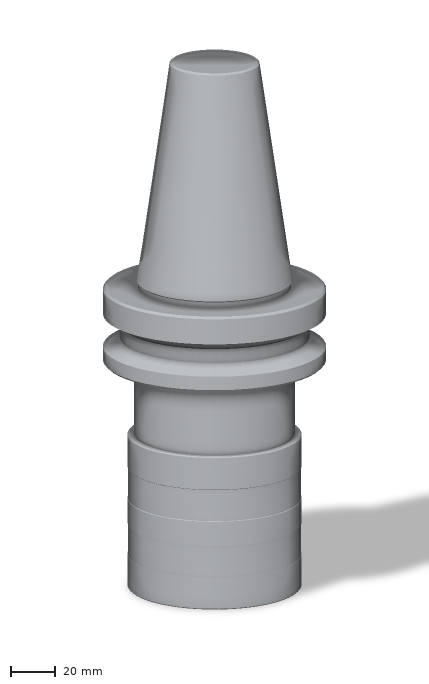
import cadquery as cq
import math


GAUGE_RADIUS = 69.85 / 2
TAPER_LENGTH = 101.8
TAPER_PER_LENGTH = 7 / 24
TAPER_TIP_CHAMFER = 0.8
TIP_RADIUS = GAUGE_RADIUS - TAPER_LENGTH * TAPER_PER_LENGTH / 2
RELIEF_RADIUS = 34.3
RELIEF_BEVEL = GAUGE_RADIUS - RELIEF_RADIUS

FLANGE_RADIUS = 50.0
FLANGE_TOP = -3.0
FLANGE_BOTTOM = -38.0
FLANGE_CHAMFER = 1.0
GROOVE_CENTER = -23.2
GROOVE_FLOOR_RADIUS = 42.5
GROOVE_FLOOR_HALF_WIDTH = 3.2
GROOVE_FLANK_ANGLE = 30.0
GROOVE_FLANK_RISE = (FLANGE_RADIUS - GROOVE_FLOOR_RADIUS) * math.tan(math.radians(GROOVE_FLANK_ANGLE))
GROOVE_MOUTH_HALF_WIDTH = GROOVE_FLOOR_HALF_WIDTH + GROOVE_FLANK_RISE

NECK_RADIUS = 36.0
NECK_STEP_DEPTH = 0.25
NECK_STEP_Z = -40.2
BAND_RADIUS = 39.0
BODY_RADIUS = 38.75
BAND_CHAMFER = 0.5
BAND_LOWER_BREAK = BAND_RADIUS - BODY_RADIUS
UPPER_BAND_TOP = -71.3
UPPER_BAND_BOTTOM = -86.8
MIDDLE_BAND_TOP = -101.0
MIDDLE_BAND_BOTTOM = -112.8
LOWER_BAND_TOP = -127.5
HOLDER_BOTTOM = -142.5


def revolve_about_z(profile):
    """Turn a closed (radius, height) outline about the Z axis."""
    outline = cq.Workplane("XZ").polyline(profile).close()
    return outline.revolve(360, (0, 0, 0), (0, 1, 0))


def turned_cylinder(radius, top, bottom, top_chamfer=0.0, bottom_chamfer=0.0):
    """Cylinder on Z with an optional chamfer at either end."""
    body = cq.Workplane("XY").workplane(offset=bottom).circle(radius).extrude(top - bottom)
    if top_chamfer:
        body = body.faces(">Z").edges().chamfer(top_chamfer)
    if bottom_chamfer:
        body = body.faces("<Z").edges().chamfer(bottom_chamfer)
    return body


def make_taper():
    """Taper shank with a chamfered tip and the undercut below the gauge line."""
    taper = revolve_about_z([
        (0, FLANGE_TOP),
        (RELIEF_RADIUS, FLANGE_TOP),
        (RELIEF_RADIUS, -RELIEF_BEVEL),
        (GAUGE_RADIUS, 0),
        (TIP_RADIUS, TAPER_LENGTH),
        (0, TAPER_LENGTH),
    ])
    return taper.faces(">Z").edges().chamfer(TAPER_TIP_CHAMFER)


def make_flange():
    """Flange disc with a V groove around its rim."""
    flange = turned_cylinder(FLANGE_RADIUS, FLANGE_TOP, FLANGE_BOTTOM, FLANGE_CHAMFER, FLANGE_CHAMFER)
    groove = revolve_about_z([
        (FLANGE_RADIUS, GROOVE_CENTER + GROOVE_MOUTH_HALF_WIDTH),
        (GROOVE_FLOOR_RADIUS, GROOVE_CENTER + GROOVE_FLOOR_HALF_WIDTH),
        (GROOVE_FLOOR_RADIUS, GROOVE_CENTER - GROOVE_FLOOR_HALF_WIDTH),
        (FLANGE_RADIUS, GROOVE_CENTER - GROOVE_MOUTH_HALF_WIDTH),
    ])
    return flange.cut(groove)


def make_neck():
    """Neck below the flange, slightly smaller for its first short stretch."""
    collar = turned_cylinder(NECK_RADIUS - NECK_STEP_DEPTH, FLANGE_BOTTOM, NECK_STEP_Z)
    neck = turned_cylinder(NECK_RADIUS, NECK_STEP_Z, UPPER_BAND_TOP, NECK_STEP_DEPTH)
    return collar.union(neck)


def make_chuck_body():
    """Cylindrical body carrying three raised bands."""
    body = turned_cylinder(BODY_RADIUS, UPPER_BAND_TOP - BAND_CHAMFER, LOWER_BAND_TOP)
    upper = turned_cylinder(BAND_RADIUS, UPPER_BAND_TOP, UPPER_BAND_BOTTOM, BAND_CHAMFER, BAND_LOWER_BREAK)
    middle = turned_cylinder(BAND_RADIUS, MIDDLE_BAND_TOP, MIDDLE_BAND_BOTTOM, BAND_CHAMFER)
    lower = turned_cylinder(BAND_RADIUS, LOWER_BAND_TOP, HOLDER_BOTTOM, 0.0, BAND_CHAMFER)
    return body.union(upper).union(middle).union(lower)


result = make_taper().union(make_flange()).union(make_neck()).union(make_chuck_body())